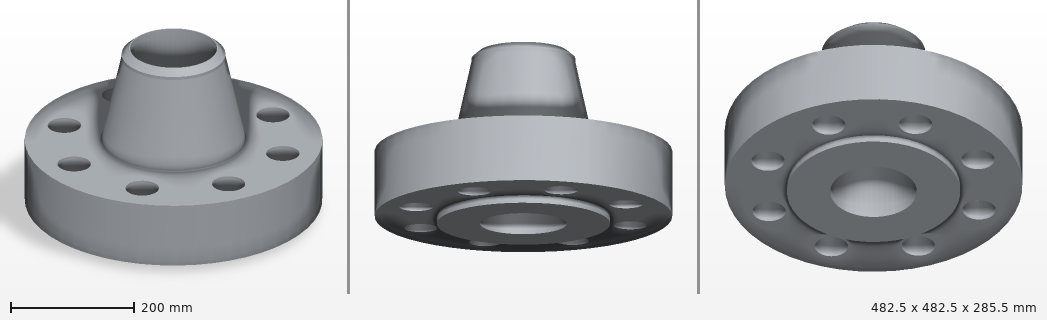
import cadquery as cq

flange_diameter = 482.5
flange_thickness = 108.0

face_diameter = 281.0
face_height = 12.5

total_height = 285.5
hub_base_diameter = 235.0
hub_fillet_radius = 3.0
neck_diameter = 168.5
neck_height = 5.5
bevel_height = 10.0
weld_land_diameter = 144.3
bore_diameter = 141.0

bolt_count = 8
bolt_hole_diameter = 54.0
bolt_circle_diameter = 368.0

flange_top = face_height + flange_thickness
neck_top = total_height - bevel_height
neck_bottom = neck_top - neck_height


def make_flange():
    """Raised face and flange disc, stacked along Z."""
    face = cq.Workplane("XY").circle(face_diameter / 2).extrude(face_height)
    disc = (
        cq.Workplane("XY", origin=(0, 0, face_height))
        .circle(flange_diameter / 2)
        .extrude(flange_thickness)
    )
    return face.union(disc)


def make_hub():
    """Revolved hub: cone, short straight neck and weld bevel."""
    return (
        cq.Workplane("XZ")
        .moveTo(0, flange_top)
        .lineTo(hub_base_diameter / 2, flange_top)
        .lineTo(neck_diameter / 2, neck_bottom)
        .lineTo(neck_diameter / 2, neck_top)
        .lineTo(weld_land_diameter / 2, total_height)
        .lineTo(0, total_height)
        .close()
        .revolve(360, (0, 0, 0), (0, 1, 0))
    )


def fillet_hub_base(body):
    """Round the corner where the cone meets the flange."""
    margin = 0.5
    reach = hub_base_diameter / 2 + margin
    base_edge = cq.selectors.BoxSelector(
        (-reach, -reach, flange_top - margin),
        (reach, reach, flange_top + margin),
        boundingbox=True,
    )
    return body.edges(base_edge).fillet(hub_fillet_radius)


def make_bolt_holes():
    """Cutters for the bolt holes, the first one on the +X axis."""
    return (
        cq.Workplane("XY")
        .polarArray(bolt_circle_diameter / 2, 0, 360, bolt_count)
        .circle(bolt_hole_diameter / 2)
        .extrude(total_height)
    )


bore = cq.Workplane("XY").circle(bore_diameter / 2).extrude(total_height)

result = fillet_hub_base(make_flange().union(make_hub()))
result = result.cut(bore).cut(make_bolt_holes())